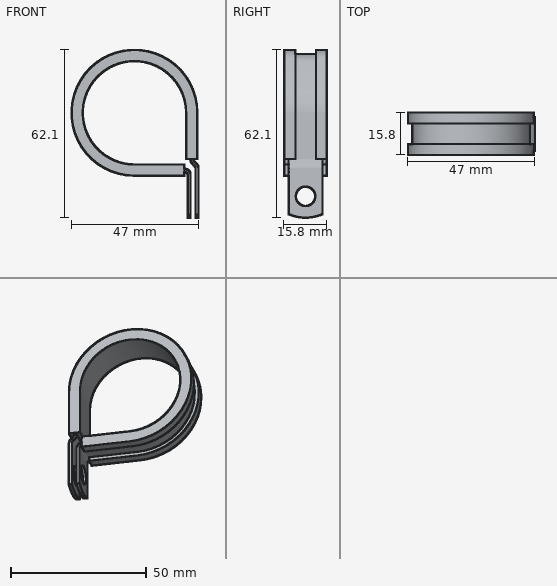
import cadquery as cq
import math


cushion_radius = 23.3
cushion_thickness = 4.2
cushion_width = 15.8
upper_leg_end_z = -17.15
lower_leg_end_x = 18.45

groove_width = 7.6
groove_depth = 1.5
strap_thickness = 1.2
strap_width = 12.55
bend_inner_radius = 1.2
bend_outer_radius = bend_inner_radius + strap_thickness
strap_outer_radius = cushion_radius - groove_depth
strap_inner_radius = strap_outer_radius - strap_thickness

overall_height = 62.1
tab_tip_z = cushion_radius - overall_height
tab_tip_sag = 1.3
hole_diameter = 7.1
hole_z = -30.9
upper_tab_offset = 1.9
jog_angle = math.radians(45)


def loop_band(outer_radius, inner_radius, width):
    """Three-quarter ring with a straight leg at each end, centred on Y."""
    outer_diagonal = outer_radius * math.sqrt(0.5)
    inner_diagonal = inner_radius * math.sqrt(0.5)
    return (
        cq.Workplane("XZ")
        .moveTo(lower_leg_end_x, -outer_radius)
        .lineTo(0, -outer_radius)
        .threePointArc((-outer_diagonal, outer_diagonal), (outer_radius, 0))
        .lineTo(outer_radius, upper_leg_end_z)
        .lineTo(inner_radius, upper_leg_end_z)
        .lineTo(inner_radius, 0)
        .threePointArc((-inner_diagonal, inner_diagonal), (0, -inner_radius))
        .lineTo(lower_leg_end_x, -inner_radius)
        .close()
        .extrude(width / 2, both=True)
    )


def make_cushion():
    body = loop_band(cushion_radius, cushion_radius - cushion_thickness, cushion_width)
    groove = loop_band(cushion_radius, strap_outer_radius, groove_width)
    return body.cut(groove)


def arc_point(center, radius, angle):
    return (center[0] + radius * math.cos(angle), center[1] + radius * math.sin(angle))


def make_lower_tab():
    """Tab turned down by a quarter bend at the end of the lower leg."""
    bend_center = (lower_leg_end_x, -strap_outer_radius - bend_inner_radius)
    inner_x = lower_leg_end_x + bend_inner_radius
    outer_x = lower_leg_end_x + bend_outer_radius
    middle = math.radians(45)
    return (
        cq.Workplane("XZ")
        .moveTo(lower_leg_end_x, -strap_inner_radius)
        .threePointArc(arc_point(bend_center, bend_outer_radius, middle), (outer_x, bend_center[1]))
        .lineTo(outer_x, tab_tip_z)
        .lineTo(inner_x, tab_tip_z)
        .lineTo(inner_x, bend_center[1])
        .threePointArc(
            arc_point(bend_center, bend_inner_radius, middle),
            (lower_leg_end_x, -strap_outer_radius),
        )
        .close()
        .extrude(strap_width / 2, both=True)
    )


def make_upper_tab():
    """Tab stepped outward by an S-shaped jog below the upper leg."""
    bend_sum = bend_inner_radius + bend_outer_radius
    sloped_run = upper_tab_offset - bend_sum * (1 - math.cos(jog_angle))
    jog_height = bend_sum * math.sin(jog_angle) + sloped_run / math.tan(jog_angle)
    jog_end_z = upper_leg_end_z - jog_height
    tab_inner_x = strap_inner_radius + upper_tab_offset
    tab_outer_x = strap_outer_radius + upper_tab_offset
    first_center = (strap_outer_radius + bend_inner_radius, upper_leg_end_z)
    second_center = (tab_inner_x - bend_inner_radius, jog_end_z)
    first_middle = math.pi + jog_angle / 2
    first_end = math.pi + jog_angle
    return (
        cq.Workplane("XZ")
        .moveTo(strap_outer_radius, upper_leg_end_z)
        .threePointArc(
            arc_point(first_center, bend_inner_radius, first_middle),
            arc_point(first_center, bend_inner_radius, first_end),
        )
        .lineTo(*arc_point(second_center, bend_outer_radius, jog_angle))
        .threePointArc(
            arc_point(second_center, bend_outer_radius, jog_angle / 2), (tab_outer_x, jog_end_z)
        )
        .lineTo(tab_outer_x, tab_tip_z)
        .lineTo(tab_inner_x, tab_tip_z)
        .lineTo(tab_inner_x, jog_end_z)
        .threePointArc(
            arc_point(second_center, bend_inner_radius, jog_angle / 2),
            arc_point(second_center, bend_inner_radius, jog_angle),
        )
        .lineTo(*arc_point(first_center, bend_outer_radius, first_end))
        .threePointArc(
            arc_point(first_center, bend_outer_radius, first_middle),
            (strap_inner_radius, upper_leg_end_z),
        )
        .close()
        .extrude(strap_width / 2, both=True)
    )


def make_tab_outline():
    """Rounded-tip outline with a bolt hole, extruded along X through both tabs."""
    half_width = strap_width / 2
    shoulder_z = tab_tip_z + tab_tip_sag
    outline = (
        cq.Workplane("YZ")
        .moveTo(-half_width, 0)
        .lineTo(-half_width, shoulder_z)
        .threePointArc((0, tab_tip_z), (half_width, shoulder_z))
        .lineTo(half_width, 0)
        .close()
        .extrude(2 * cushion_radius)
    )
    hole = (
        cq.Workplane("YZ")
        .center(0, hole_z)
        .circle(hole_diameter / 2)
        .extrude(2 * cushion_radius)
    )
    return outline.cut(hole)


tabs = make_lower_tab().union(make_upper_tab()).intersect(make_tab_outline())
result = make_cushion().union(tabs)